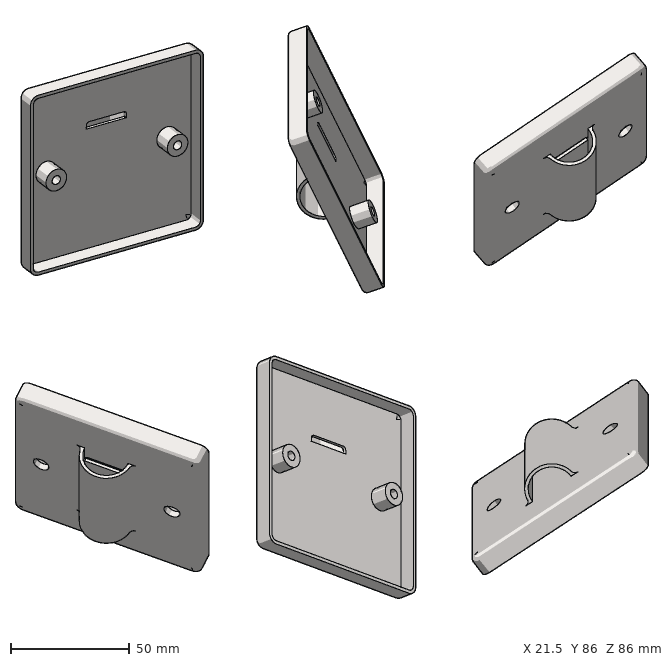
import cadquery as cq
import math

plate_size = 86.0
plate_depth = 10.0
corner_radius = 4.0
rim_radius = 2.0
border_slope = 5.0
crease_size = 60.3
crease_radius = 30.0
wall = 1.5

hole_spacing = 60.3
hole_diameter = 4.1
head_diameter = 7.2
head_depth = 3.0
countersink_angle = 90.0
boss_diameter = head_diameter + 2 * wall

hood_inner_radius = 10.0
hood_wall = 1.5
hood_length = 50.0
hood_foot_radius = 2.2

slot_width = 2 * hood_inner_radius
slot_height = 3.2
slot_top = 18.2
slot_corner_radius = 1.5

slope = math.radians(border_slope)


def border_drop(size):
    """How far the sloping border falls from the flat face to the edge of a square."""
    return (size - crease_size) / 2 * math.tan(slope)


def sloped_block(size, depth, radius):
    """Rounded square block whose border slopes up to a flat square face."""
    slope_height = border_drop(size)
    base = (
        cq.Workplane("YZ")
        .rect(size, size)
        .extrude(slope_height - depth)
        .edges("|X")
        .fillet(radius)
    )
    border = (
        base.faces("<X")
        .wires()
        .toPending()
        .workplane()
        .extrude(slope_height, taper=90 - border_slope, combine=False)
    )
    return base.union(border)


def crease_envelope():
    """Bar along Z whose face profile blends the flat into the slope with an arc."""
    half_size = plate_size / 2
    half_crease = crease_size / 2
    edge_depth = plate_depth - border_drop(plate_size)
    tangent = crease_radius * math.tan(slope / 2)
    flat_end = half_crease - tangent
    slope_start = half_crease + tangent * math.cos(slope)
    slope_start_depth = plate_depth - tangent * math.sin(slope)
    arc_y = flat_end + crease_radius * math.sin(slope / 2)
    arc_depth = plate_depth - crease_radius * (1 - math.cos(slope / 2))
    return (
        cq.Workplane("XY")
        .moveTo(0, -half_size)
        .lineTo(-edge_depth, -half_size)
        .lineTo(-slope_start_depth, -slope_start)
        .threePointArc((-arc_depth, -arc_y), (-plate_depth, -flat_end))
        .lineTo(-plate_depth, flat_end)
        .threePointArc((-arc_depth, arc_y), (-slope_start_depth, slope_start))
        .lineTo(-edge_depth, half_size)
        .lineTo(0, half_size)
        .close()
        .extrude(half_size, both=True)
    )


def make_shell():
    """Plate hollowed from the back, with a rounded rim and a softened crease."""
    block = sloped_block(plate_size, plate_depth, corner_radius)
    rim_x = border_drop(plate_size) - plate_depth
    reach = border_drop(plate_size) / 2
    rim = cq.selectors.BoxSelector(
        (rim_x - reach, -plate_size, -plate_size),
        (rim_x + reach, plate_size, plate_size),
    )
    rim_edges = block.edges(rim).edges("#X")
    block = rim_edges.fillet(rim_radius)
    envelope = crease_envelope()
    block = block.intersect(envelope)
    block = block.intersect(envelope.rotate((0, 0, 0), (1, 0, 0), 90))
    cavity = sloped_block(plate_size - 2 * wall, plate_depth - wall, corner_radius - wall)
    return block.cut(cavity)


def add_hood(body):
    """Half tube on the face, its outer feet flared into the face by fillets."""
    outer_radius = hood_inner_radius + hood_wall
    foot_y = math.sqrt((outer_radius + hood_foot_radius) ** 2 - hood_foot_radius**2)
    touch = outer_radius / (outer_radius + hood_foot_radius)
    touch_x = hood_foot_radius * touch
    touch_y = foot_y * touch
    turn = math.atan2(foot_y, hood_foot_radius) / 2
    middle_x = hood_foot_radius * (1 - math.cos(turn))
    middle_y = foot_y - hood_foot_radius * math.sin(turn)
    hood = (
        cq.Workplane("XY", origin=(-plate_depth, 0, 0))
        .moveTo(0, foot_y)
        .threePointArc((-middle_x, middle_y), (-touch_x, touch_y))
        .threePointArc((-outer_radius, 0), (-touch_x, -touch_y))
        .threePointArc((-middle_x, -middle_y), (0, -foot_y))
        .lineTo(0, -hood_inner_radius)
        .threePointArc((-hood_inner_radius, 0), (0, hood_inner_radius))
        .close()
        .extrude(hood_length / 2, both=True)
    )
    return body.union(hood)


def cut_slot(body):
    """Slot through the face, as wide as the inside of the hood, its top corners rounded."""
    slot = (
        cq.Workplane("YZ")
        .center(0, slot_top - slot_height / 2)
        .rect(slot_width, slot_height)
        .extrude(-plate_depth)
        .edges("|X and >Z")
        .fillet(slot_corner_radius)
    )
    return body.cut(slot)


def add_screw_holes(body):
    """Sunk screw holes, each in a boss that runs from the face to the back."""
    places = [(-hole_spacing / 2, 0), (hole_spacing / 2, 0)]
    boss_length = plate_depth - wall / 2
    bosses = (
        cq.Workplane("YZ")
        .pushPoints(places)
        .circle(boss_diameter / 2)
        .extrude(-boss_length)
    )
    body = body.union(bosses)

    head_radius = head_diameter / 2
    hole_radius = hole_diameter / 2
    cone_depth = (head_radius - hole_radius) / math.tan(math.radians(countersink_angle / 2))
    section = [
        (0, 0),
        (hole_radius, 0),
        (hole_radius, head_depth + cone_depth - plate_depth),
        (head_radius, head_depth - plate_depth),
        (head_radius, -plate_depth),
        (0, -plate_depth),
    ]
    for y, z in places:
        outline = [(x, y + radius) for radius, x in section]
        hole = cq.Workplane("XY").workplane(offset=z).polyline(outline).close()
        body = body.cut(hole.revolve(360, (0, y), (1, y)))
    return body


result = cut_slot(add_screw_holes(add_hood(make_shell())))